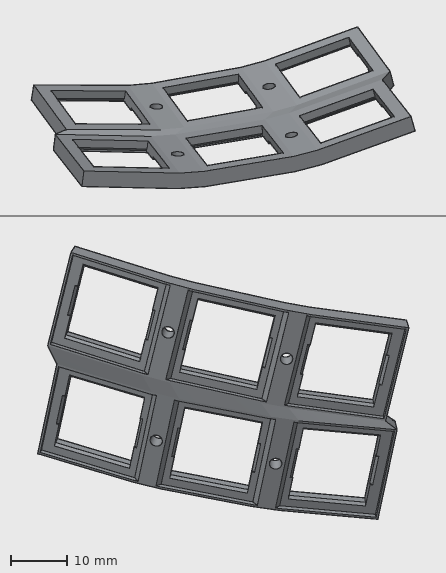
import cadquery as cq
import math

PLATE_WIDTH = 18.85
THICKNESS = 2.95
MIDDLE_LENGTH = 16.5
END_LENGTH = 17.8
STRIP_LENGTH = 4.45
ROW_ANGLE = 11.1

OPENING = 14.0
INNER_MARGIN = (MIDDLE_LENGTH - OPENING) / 2
OUTER_MARGIN = END_LENGTH - OPENING - INNER_MARGIN
SCREW_DIAMETER = 2.2

RECESS_DEPTH = 0.95
RECESS_LIP = 0.4
FLARE_START = 1.5
NOTCH_WIDTH = 6.0

LEFT_CENTRE = (-10.85, 2.8, -1.1)
LEFT_TURN = (-7.0, 4.7, 3.8)
RIGHT_CENTRE = (9.75, -2.5, -2.1)
RIGHT_TURN = (-9.3, -0.2, 3.9)

CEILING = -(THICKNESS - RECESS_DEPTH)
CLEAR = 2 * THICKNESS


def step(start, angle, distance):
    """Point reached from a (y, z) start by going a distance at an angle above the Y axis."""
    a = math.radians(angle)
    return (start[0] + distance * math.cos(a), start[1] + distance * math.sin(a))


STRIP_START = (MIDDLE_LENGTH / 2, 0)
STRIP_END = step(STRIP_START, ROW_ANGLE / 2, STRIP_LENGTH)
COLUMN_END = step(STRIP_END, ROW_ANGLE, END_LENGTH)


def cross_lines():
    """(top, bottom) points of the column's six cross lines in the YZ plane, front to rear."""
    rear = []
    for top, angle in ((STRIP_START, 0), (STRIP_END, ROW_ANGLE), (COLUMN_END, ROW_ANGLE)):
        rear.append((top, step(top, angle - 90, THICKNESS)))
    front = [tuple((-y, z) for y, z in line) for line in reversed(rear)]
    return front + rear


def column_location(centre, turn):
    """Pose of a column: moved to its centre, then turned about its own Z, Y and X axes."""
    location = cq.Location(cq.Vector(*centre))
    axes = (cq.Vector(0, 0, 1), cq.Vector(0, 1, 0), cq.Vector(1, 0, 0))
    for axis, angle in zip(axes, turn):
        location = location * cq.Location(cq.Vector(), axis, angle)
    return location


def prism(plane, outline, width):
    """Outline extruded to a width, half to each side of its plane."""
    return cq.Workplane(plane).polyline(outline).close().extrude(width / 2, both=True)


def flared_outline():
    """Opening section with straight walls that flare at 45 degrees down to the recess."""
    half = OPENING / 2
    wide = half - FLARE_START - CEILING
    right = [(half, CLEAR), (half, -FLARE_START), (wide, CEILING), (wide, -CLEAR)]
    return right + [(-x, z) for x, z in reversed(right)]


def recess_end(margin, inner):
    """(y, z) corners of the recess at one end: a 45 degree ramp or an upright wall behind a lip."""
    edge = OPENING / 2 + margin
    if inner:
        return [(edge, CEILING), (edge + THICKNESS, CEILING - THICKNESS)]
    return [(edge - RECESS_LIP, CEILING), (edge - RECESS_LIP, -CLEAR)]


def plate_cutter(rear_end):
    """Opening, notches and recess, about the middle of the opening at the top face."""
    opening = prism("XZ", flared_outline(), OPENING)
    notches = prism("YZ", flared_outline(), NOTCH_WIDTH)
    front_end = [(-y, z) for y, z in recess_end(INNER_MARGIN, True)]
    recess = prism("YZ", front_end[::-1] + rear_end, PLATE_WIDTH - 2 * RECESS_LIP)
    return opening.union(notches).union(recess)


def set_on(cutter, start, angle, distance):
    """Tilt a cutter and move it along one span of the profile."""
    y, z = step(start, angle, distance)
    return cutter.rotate((0, 0, 0), (1, 0, 0), angle).translate((0, y, z))


def column():
    """One column, lying with its middle plate's top face on the XY plane."""
    lines = cross_lines()
    outline = [top for top, _ in lines] + [bottom for _, bottom in reversed(lines)]
    body = prism("YZ", outline, PLATE_WIDTH)
    body = body.cut(plate_cutter(recess_end(INNER_MARGIN, True)))
    end_cutter = plate_cutter(recess_end(OUTER_MARGIN, False))
    screw = cq.Workplane().circle(SCREW_DIAMETER / 2).extrude(CLEAR, both=True)
    for cutter in (
        set_on(end_cutter, STRIP_END, ROW_ANGLE, INNER_MARGIN + OPENING / 2),
        set_on(screw, STRIP_START, ROW_ANGLE / 2, STRIP_LENGTH / 2),
    ):
        body = body.cut(cutter).cut(cutter.mirror("XZ"))
    return body.val()


def side_quad(location, x, near, far):
    """Wire around one span of a column's side face, between two cross lines."""
    corners = [near[0], far[0], far[1], near[1]]
    return cq.Wire.makePolygon([cq.Vector(x, y, z) for y, z in corners], close=True).moved(location)


def web(left, right):
    """Ruled pieces between the facing sides of the columns, one for each plate and strip."""
    lines = cross_lines()
    pieces = cq.Workplane()
    for near, far in zip(lines, lines[1:]):
        left_quad = side_quad(left, PLATE_WIDTH / 2, near, far)
        right_quad = side_quad(right, -PLATE_WIDTH / 2, near, far)
        pieces = pieces.add(cq.Solid.makeLoft([left_quad, right_quad], True))
    return pieces.combine()


left_location = column_location(LEFT_CENTRE, LEFT_TURN)
right_location = column_location(RIGHT_CENTRE, RIGHT_TURN)
result = web(left_location, right_location)
for location in (left_location, right_location):
    result = result.union(cq.Workplane(column().moved(location)))